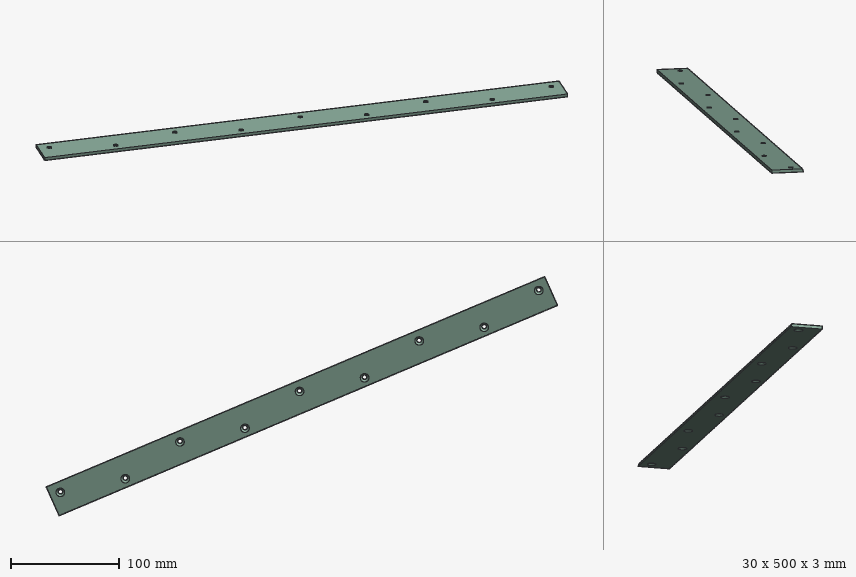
import cadquery as cq
import math

length = 500.0
width = 30.0
thickness = 3.0

bevel_angle = 18.0
bevel_inset = thickness * math.tan(math.radians(bevel_angle))

hole_diameter = 4.1
countersink_diameter = 8.0
countersink_angle = 90.0
hole_count = 9
end_margin = 10.0
left_row_x = -5.0
right_row_x = 7.0
hole_pitch = (length - 2 * end_margin) / (hole_count - 1)


def make_strip():
    """Cross-section with one bevelled side, extruded along Y."""
    half_width = width / 2
    half_thickness = thickness / 2
    section = [
        (-half_width, -half_thickness),
        (half_width, -half_thickness),
        (half_width, half_thickness),
        (-half_width + bevel_inset, half_thickness),
    ]
    return cq.Workplane("XZ").polyline(section).close().extrude(length / 2, both=True)


def hole_centres():
    """Evenly pitched centres, starting and ending in the left row."""
    first_y = -length / 2 + end_margin
    centres = []
    for index in range(hole_count):
        row_x = left_row_x if index % 2 == 0 else right_row_x
        centres.append((row_x, first_y + index * hole_pitch))
    return centres


def drill_holes(strip):
    """Countersink every hole from the bottom face, through the full thickness."""
    bottom = strip.faces("<Z").workplane(origin=(0, 0, 0))
    return bottom.pushPoints(hole_centres()).cskHole(hole_diameter, countersink_diameter, countersink_angle)


result = drill_holes(make_strip())